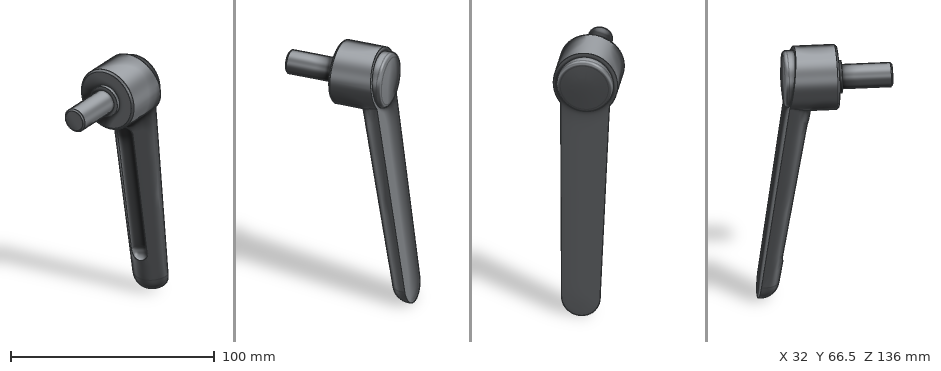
import cadquery as cq
import math


stud_radius = 6.0
stud_length = 25.0
stud_chamfer = 0.8
collar_radius = 8.0
collar_thickness = 2.0

hub_radius = 16.0
hub_chamfer = 1.0
hub_back_y = 25.0

cap_radius = 14.0
cap_rim_y = 26.7
cap_edge_radius = 2.0
cap_crown_y = 29.6

arm_tilt = math.radians(7.83)
arm_root_radius = 12.4
arm_tip_radius = 9.6
arm_reach = 120.02
arm_length = (arm_reach - arm_tip_radius) / math.cos(arm_tilt)
arm_taper = math.atan((arm_root_radius - arm_tip_radius) / arm_length)

groove_radius = 4.8
groove_sink = 1.1
groove_top_z = -24.7
groove_bottom_z = -95.8

back_plane = cq.Plane(
    origin=(0, hub_back_y, 0),
    xDir=(1, 0, 0),
    normal=(0, math.cos(arm_tilt), math.sin(arm_tilt)),
)


def turned(profile):
    """Revolve a closed XY profile about the stud axis."""
    return profile.close().revolve(360, (0, 0, 0), (0, 1, 0))


def make_stud():
    return turned(
        cq.Workplane("XY")
        .moveTo(0, -stud_length)
        .lineTo(stud_radius - stud_chamfer, -stud_length)
        .lineTo(stud_radius, -stud_length + stud_chamfer)
        .lineTo(stud_radius, 0)
        .lineTo(collar_radius, 0)
        .lineTo(collar_radius, collar_thickness)
        .lineTo(0, collar_thickness)
    )


def make_hub():
    """Cylinder with a chamfered front edge, cut off by the sloping back plane."""
    uncut_back_y = hub_back_y + hub_radius
    blank = turned(
        cq.Workplane("XY")
        .moveTo(0, collar_thickness)
        .lineTo(hub_radius - hub_chamfer, collar_thickness)
        .lineTo(hub_radius, collar_thickness + hub_chamfer)
        .lineTo(hub_radius, uncut_back_y)
        .lineTo(0, uncut_back_y)
    )
    cutter_width = 4 * hub_radius
    behind_back = cq.Workplane(back_plane).rect(cutter_width, cutter_width).extrude(cutter_width)
    return blank.cut(behind_back)


def make_cap():
    """Round cap with a rounded rim and a shallow domed top."""
    dome_edge_x = cap_radius - cap_edge_radius
    dome_edge_y = cap_rim_y + cap_edge_radius
    dome_rise = cap_crown_y - dome_edge_y
    dome_radius = (dome_edge_x**2 + dome_rise**2) / (2 * dome_rise)
    base_y = hub_back_y - hub_radius * math.tan(arm_tilt)
    return turned(
        cq.Workplane("XY")
        .moveTo(0, base_y)
        .lineTo(cap_radius, base_y)
        .lineTo(cap_radius, cap_rim_y)
        .radiusArc((dome_edge_x, dome_edge_y), -cap_edge_radius)
        .radiusArc((0, cap_crown_y), -dome_radius)
    )


def make_arm():
    """Half cone ending in a quarter ball."""
    return (
        cq.Workplane(back_plane)
        .lineTo(arm_root_radius, 0)
        .lineTo(arm_tip_radius, arm_length)
        .radiusArc((0, arm_length + arm_tip_radius), -arm_tip_radius)
        .close()
        .revolve(180, (0, 0, 0), (0, 1, 0))
    )


def make_groove():
    """Round-ended rod parallel to the crest of the arm."""
    tilt = arm_tilt + arm_taper
    axis_depth = arm_root_radius - groove_sink / math.cos(arm_taper)
    root_y = hub_back_y - axis_depth * math.cos(arm_tilt)
    root_z = -axis_depth * math.sin(arm_tilt)
    start_y = root_y + (root_z - groove_top_z) * math.tan(tilt)
    length = (groove_top_z - groove_bottom_z) / math.cos(tilt)
    groove_plane = cq.Plane(
        origin=(0, start_y, groove_top_z),
        xDir=(1, 0, 0),
        normal=(0, math.cos(tilt), math.sin(tilt)),
    )
    return (
        cq.Workplane(groove_plane)
        .moveTo(0, -groove_radius)
        .radiusArc((groove_radius, 0), -groove_radius)
        .lineTo(groove_radius, length)
        .radiusArc((0, length + groove_radius), -groove_radius)
        .close()
        .revolve(360, (0, 0, 0), (0, 1, 0))
    )


arm = make_arm().cut(make_groove())
result = make_hub().union(make_stud()).union(make_cap()).union(arm)